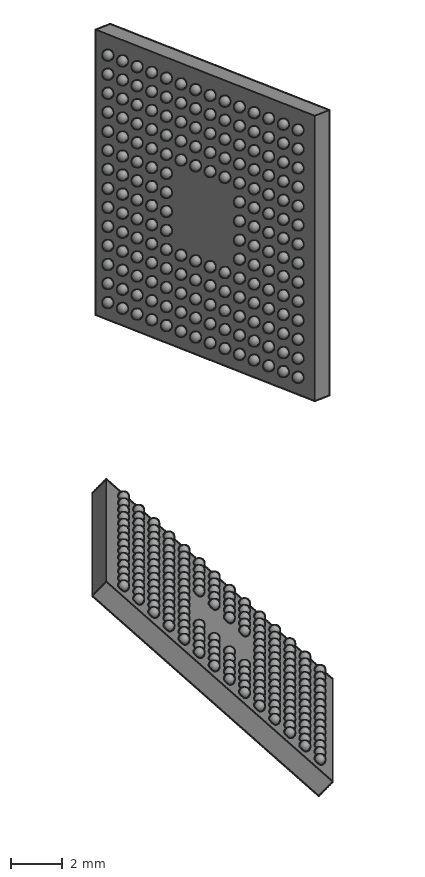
import cadquery as cq

body_side = 12.0
body_thickness = 0.8
total_depth = 1.15

balls_per_side = 14
empty_per_side = 4
ball_pitch = body_side / (balls_per_side + 1)
ball_radius = 0.23
ball_height = total_depth - body_thickness

ball_center_y = ball_radius - ball_height


def is_empty(column, row):
    """True for grid positions inside the empty square."""
    first = (balls_per_side - empty_per_side) // 2
    middle = range(first, first + empty_per_side)
    return column in middle and row in middle


def ball_positions():
    """Ball centres as (x, y, z), with the grid centred on the body."""
    grid_middle = (balls_per_side - 1) / 2
    return [
        ((column - grid_middle) * ball_pitch, ball_center_y, (row - grid_middle) * ball_pitch)
        for column in range(balls_per_side)
        for row in range(balls_per_side)
        if not is_empty(column, row)
    ]


def make_body():
    """Flat square plate with its thickness along +Y."""
    return cq.Workplane("XY").box(
        body_side, body_thickness, body_side, centered=(True, False, True)
    )


def make_balls():
    """Solder balls, each partly sunk into the body."""
    ball = cq.Workplane("XY").sphere(ball_radius).val()
    return [ball.translate(cq.Vector(*position)) for position in ball_positions()]


result = cq.Workplane(make_body().val().fuse(*make_balls()))